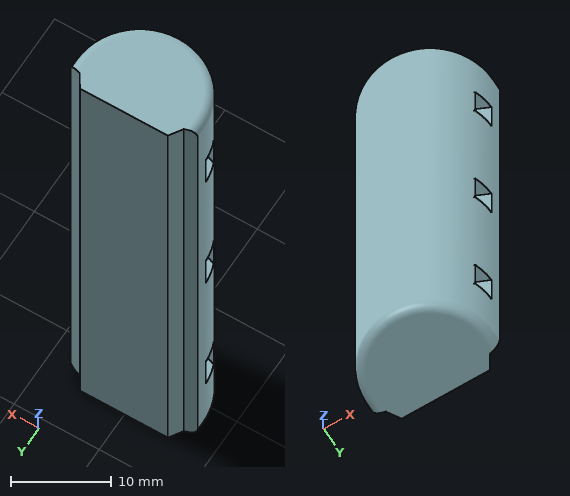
import cadquery as cq

length = 60.0
radius = 7.5
end_fillet = 1.0

back_y = 3.0
pad_half_width = 5.15
pad_foot_x = 6.1
pad_foot_y = 1.5
shoulder_y = 1.1

channel_count = 3
channel_pitch = length / channel_count
channel_height = 4.3
channel_inner_radius = 16.5
channel_thickness = 1.85
channel_crest_y = -2.3
channel_center_y = channel_crest_y + channel_inner_radius


def make_body():
    """Extrude the D-shaped section and round the ends of its curved side."""
    body = (
        cq.Workplane("XY")
        .moveTo(-pad_half_width, back_y)
        .lineTo(pad_half_width, back_y)
        .lineTo(pad_foot_x, pad_foot_y)
        .lineTo(radius, shoulder_y)
        .lineTo(radius, 0)
        .threePointArc((0, -radius), (-radius, 0))
        .lineTo(-radius, shoulder_y)
        .lineTo(-pad_foot_x, pad_foot_y)
        .close()
        .extrude(length)
    )
    return body.faces("|Z").edges("%CIRCLE").fillet(end_fillet)


def make_channel(center_z):
    """Ring whose front stretch sweeps through the bar as a strap channel."""
    return (
        cq.Workplane("XY")
        .workplane(offset=center_z - channel_height / 2)
        .center(0, channel_center_y)
        .circle(channel_inner_radius + channel_thickness)
        .circle(channel_inner_radius)
        .extrude(channel_height)
    )


result = make_body()
for index in range(channel_count):
    result = result.cut(make_channel((index + 0.5) * channel_pitch))